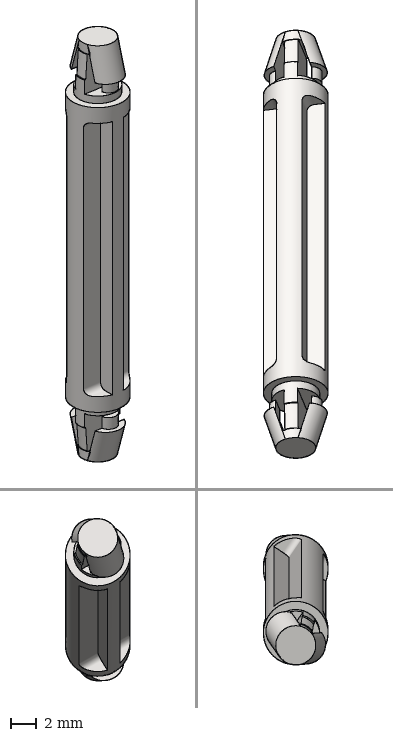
import cadquery as cq
import math

total_length = 36.8
body_diameter = 5.0
body_length = 26.95
collar_diameter = 3.7
collar_height = 0.65

pocket_length = 24.15
rib_width_x = 2.02
rib_width_y = 1.15
pocket_corner_radius = 0.55

head_height = 3.0
tip_diameter = 3.1
barb_span = 4.93
web_thickness = 1.05
web_taper_diameter = 3.5
cap_height = 0.85
arm_gap_at_tip = 1.0
peg_radius = 0.77
peg_outer_reach = 2.05
peg_length = 1.03

half_length = total_length / 2
body_top = body_length / 2
barb_z = half_length - head_height
arm_spread = (barb_span - tip_diameter) / 2
arm_gap_at_barb = arm_gap_at_tip + 2 * arm_spread
cap_bottom = half_length - cap_height


def block(size_x, size_y, z_low, z_high):
    """Box centred on the axis between two heights."""
    return cq.Workplane("XY", origin=(0, 0, z_low)).rect(size_x, size_y).extrude(z_high - z_low)


def round_bar(diameter, z_low, z_high):
    """Cylinder on the axis between two heights."""
    return cq.Workplane("XY", origin=(0, 0, z_low)).circle(diameter / 2).extrude(z_high - z_low)


def make_body():
    """Round bar with two pairs of pockets reaching out past its surface."""
    body = round_bar(body_diameter, -body_top, body_top)
    pocket_size = body_diameter
    pocket = (
        cq.Workplane("XY")
        .box(pocket_size, pocket_size, pocket_length)
        .edges("|Y and <X")
        .fillet(pocket_corner_radius)
        .translate(((rib_width_x + pocket_size) / 2, (rib_width_y + pocket_size) / 2, 0))
    )
    pockets = pocket.union(pocket.mirror("YZ"))
    pockets = pockets.union(pockets.mirror("XZ"))
    return body.cut(pockets)


def arm_section(direction, shift, z):
    """Outline of one arm at a height: a tip-circle segment moved sideways by the shift."""
    tip_radius = tip_diameter / 2
    half_chord = math.sqrt(tip_radius**2 - (arm_gap_at_tip / 2) ** 2)
    chord_x = direction * (arm_gap_at_tip / 2 + shift)
    outer_x = direction * (tip_radius + shift)
    return (
        cq.Workplane("XY", origin=(0, 0, z))
        .moveTo(chord_x, -half_chord)
        .threePointArc((outer_x, 0), (chord_x, half_chord))
        .close()
        .val()
    )


def make_arm(direction):
    """Barbed arm leaning outward from the tip with a constant section."""
    section_wires = [
        arm_section(direction, arm_spread, barb_z),
        arm_section(direction, 0, half_length),
    ]
    return cq.Workplane(cq.Solid.makeLoft(section_wires, True))


def make_cap():
    """Straight bridge under the tip, filling the tapered gap between the arms."""
    gap = (
        cq.Workplane("XZ")
        .polyline([
            (-arm_gap_at_barb / 2, barb_z),
            (arm_gap_at_barb / 2, barb_z),
            (arm_gap_at_tip / 2, half_length),
            (-arm_gap_at_tip / 2, half_length),
        ])
        .close()
        .extrude(body_diameter, both=True)
    )
    return round_bar(tip_diameter, cap_bottom, half_length).intersect(gap)


def make_web():
    """Flat central web, straight above the collar and tapered inside the head."""
    straight = round_bar(collar_diameter, body_top, barb_z)
    tapered = (
        cq.Workplane("XY", origin=(0, 0, barb_z))
        .circle(web_taper_diameter / 2)
        .workplane(offset=head_height)
        .circle(tip_diameter / 2)
        .loft(ruled=True)
    )
    return straight.union(tapered).intersect(block(web_thickness, body_diameter, body_top, cap_bottom))


def make_pegs():
    """D-shaped pegs hanging below the arms, flat toward the axis."""
    peg = (
        cq.Workplane("XY", origin=(0, 0, barb_z - peg_length))
        .center(peg_outer_reach - peg_radius, 0)
        .circle(peg_radius)
        .extrude(peg_length)
        .cut(block(arm_gap_at_barb, body_diameter, barb_z - peg_length, barb_z))
    )
    return peg.union(peg.mirror("YZ"))


def make_head():
    """Upper snap-fit head, from the collar to the tip."""
    collar = round_bar(collar_diameter, body_top, body_top + collar_height)
    head = collar.union(make_web()).union(make_cap()).union(make_pegs())
    for direction in (-1, 1):
        head = head.union(make_arm(direction))
    return head


upper_head = make_head()
result = make_body().union(upper_head).union(upper_head.mirror("XY"))